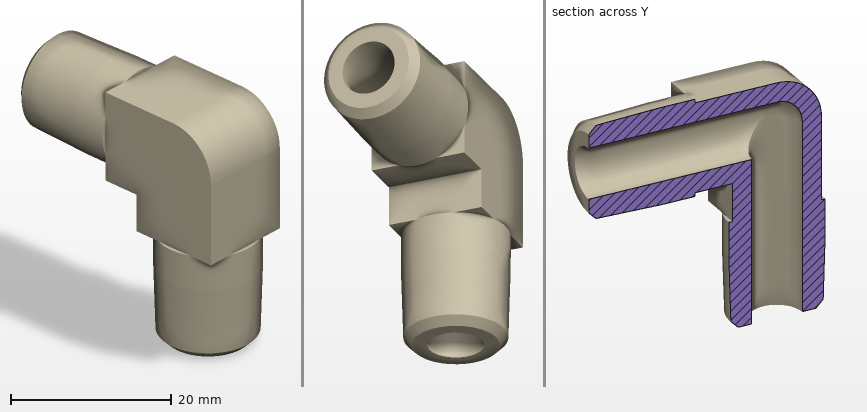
import cadquery as cq

overall_length = 33.53
spigot_diameter = 13.7
taper_end_diameter = 13.15
tip_diameter = 11.0
spigot_length = 15.1
taper_start = 10.25
chamfer_length = 1.07
block_width = 12.67
bore_diameter = 7.1

reach = overall_length - spigot_diameter / 2
block_reach = reach - spigot_length
half_block = block_width / 2


def along_minus_x(shape):
    """Turn a shape lying along -Z so that it lies along -X."""
    return shape.rotate((0, 0, 0), (0, 1, 0), 90)


def make_spigot():
    """Chamfered, tapered spigot pointing down -Z."""
    tip = -reach
    return (
        cq.Workplane("XZ")
        .moveTo(0, tip)
        .lineTo(tip_diameter / 2, tip)
        .lineTo(taper_end_diameter / 2, tip + chamfer_length)
        .lineTo(spigot_diameter / 2, tip + taper_start)
        .lineTo(spigot_diameter / 2, tip + spigot_length)
        .lineTo(0, tip + spigot_length)
        .close()
        .revolve(360, (0, 0, 0), (0, 1, 0))
    )


def make_block():
    """L-shaped square-section body with a rounded outer corner."""
    leg_length = block_reach + half_block
    leg = (
        cq.Workplane("XY")
        .workplane(offset=-block_reach)
        .rect(block_width, block_width)
        .extrude(leg_length)
    )
    elbow = leg.union(along_minus_x(leg))
    corner = cq.selectors.NearestToPointSelector((half_block, 0, half_block))
    return elbow.edges(corner).fillet(half_block)


def make_bore():
    """Two equal bores meeting at a spherical end."""
    radius = bore_diameter / 2
    passage = cq.Workplane("XY").circle(radius).extrude(-reach)
    return passage.union(along_minus_x(passage)).union(cq.Workplane("XY").sphere(radius))


spigot = make_spigot()
result = make_block().union(spigot).union(along_minus_x(spigot)).cut(make_bore())